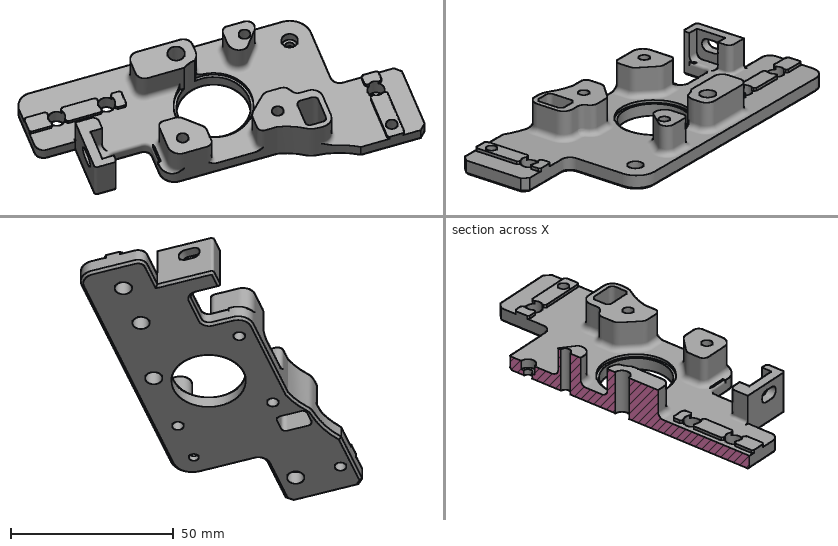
import cadquery as cq
import math

PLATE_WIDTH = 53.0
PLATE_LENGTH = 116.0
TOTAL_HEIGHT = 15.0
PLATE_TOP = 5.0
BOTTOM_CHAMFER = 0.8
BODY_RIGHT = 44.14
FOOT_RIGHT = 22.1
SHOULDER_Y = 94.4
TAB_LEFT = 28.01
TAB_CHAMFER = 2.0
INNER_CORNER_RADIUS = 3.0
FOOT_LEFT_RADIUS = 5.0
SHOULDER_RADIUS = 7.0
LOWER_RIGHT_RADIUS = 5.0
WAIST_START_Y = 70.5
WAIST_MIDDLE = (45.5, 74.6)
WAIST_END = (47.7, 78.6)
NOSE_RIGHT = 48.6
NOSE_END_Y = 81.3
TAB_SIDE_Y = 94.5

NOTCH_LEFT = 29.8
NOTCH_BOTTOM = 19.4
NOTCH_TOP = 33.6
NOTCH_RADIUS = 2.5
SMALL_FILLET = 1.0
CLAMP_RIGHT = 40.4
CLAMP_BOTTOM = 12.3
CLAMP_EDGE_RADIUS = 0.9
CLAMP_LEFT_RADIUS = 2.0
CLAMP_OVERLAP = 5.8
RECESS_LEFT = 26.9
RECESS_RIGHT = 37.8
RECESS_FRONT = 15.5
RECESS_FLOOR_RADIUS = 2.0
CLAMP_SLOT_X = 32.5
CLAMP_SLOT_Z = 10.4
CLAMP_SLOT_LENGTH = 6.8
CLAMP_SLOT_HEIGHT = 4.2

MOTOR_X = 23.03
MOTOR_Y = 57.01
MOTOR_RADIUS = 11.43
RIM_RADIUS = 12.3
RIM_DEPTH = 0.9
SCREW_OFFSET = 15.49
SCREW_RADIUS = 1.8
LEFT_X = MOTOR_X - SCREW_OFFSET
RIGHT_X = MOTOR_X + SCREW_OFFSET
UPPER_Y = MOTOR_Y + SCREW_OFFSET
LOWER_Y = MOTOR_Y - SCREW_OFFSET

FOOT_FILLET = 2.0
BOSS_LEFT = 2.9
BOSS_RADIUS = 3.0
TIGHT_RADIUS = 2.0
PAD_RIGHT = 13.5
PAD_BOTTOM = 36.0
PAD_TOP = 56.1
PAD_NOSE_RADIUS = 5.0
PAD_HOLE_Y = 50.2
TRIANGLE_RIGHT = 12.9
TRIANGLE_BOTTOM = 66.41
TRIANGLE_RIGHT_TOP = 71.3
TRIANGLE_TOP = 79.2
TRIANGLE_BOTTOM_RADIUS = 3.7
TRIANGLE_TOP_RADIUS = 2.5
RIGHT_BOSS_LEFT = 30.5
RIGHT_BOSS_REACH = 7.4
RIGHT_BOSS_BEVEL = 6.44
LOWER_BOSS_BOTTOM = 36.1
LOWER_BOSS_TOP = MOTOR_Y - RIGHT_BOSS_REACH
LOWER_BOSS_RADIUS = 4.0
UPPER_BOSS_BOTTOM = MOTOR_Y + RIGHT_BOSS_REACH
UPPER_BOSS_TOP = 87.5
UPPER_BOSS_RIGHT = 48.7
UPPER_BOSS_STEP_X = 34.2
UPPER_BOSS_STEP_TOP = 79.9
UPPER_BOSS_STEP_BOTTOM = 77.7
UPPER_BOSS_STEP_RADIUS = 2.4
UPPER_BOSS_TOP_RADIUS = 3.5
POCKET_LEFT = 37.06
POCKET_RIGHT = 46.92
POCKET_BOTTOM = 79.0
POCKET_TOP = 85.7
POCKET_RADIUS = 1.5

LARGE_HOLE_RADIUS = 2.7
CORNER_HOLE_Y = 87.2
CORNER_HOLE_RADIUS = 1.5
CORNER_BORE_RADIUS = 2.5
CORNER_BORE_DEPTH = 3.0

RAIL_TOP = 6.0
RAIL_WIDTH = 5.6
RAIL_CORNER = 0.6
RAIL_GAP = 4.4
FOOT_RAIL_X = 12.0
FOOT_RAIL_END = 31.7
FOOT_HOLES_Y = (9.7, 26.0)
TAB_RAIL_Y = 106.08
TAB_LARGE_HOLE_X = 34.1
TAB_SMALL_HOLE_X = 48.7

MARGIN = 23.2
NEAR = 0.1


def prism(corners, bottom, top):
    """Extrude a polygon given as (x, y, corner radius)."""
    count = len(corners)
    path = None
    for i, (x, y, radius) in enumerate(corners):
        corner_point = cq.Vector(x, y, 0)
        before = (cq.Vector(*corners[i - 1][:2], 0) - corner_point).normalized()
        after = (cq.Vector(*corners[(i + 1) % count][:2], 0) - corner_point).normalized()
        half_angle = before.getAngle(after) / 2
        setback = radius / math.tan(half_angle)
        start = corner_point + before * setback
        end = corner_point + after * setback
        inward = (before + after).normalized()
        middle = corner_point + inward * (radius / math.sin(half_angle) - radius)
        if path is None:
            path = cq.Workplane("XY", origin=(0, 0, bottom)).moveTo(start.x, start.y)
        else:
            path = path.lineTo(start.x, start.y)
        if radius > 0:
            path = path.threePointArc((middle.x, middle.y), (end.x, end.y))
    return path.close().extrude(top - bottom)


def box(x0, x1, y0, y1, z0, z1):
    return cq.Workplane("XY").box(x1 - x0, y1 - y0, z1 - z0, centered=False).translate((x0, y0, z0))


def cylinder(x, y, radius, bottom=0, top=TOTAL_HEIGHT):
    return cq.Workplane("XY", origin=(x, y, bottom)).circle(radius).extrude(top - bottom)


def between(x0, x1, y0, y1, z0, z1):
    """Selector for edges whose middle lies in the given box."""
    return cq.selectors.BoxSelector((x0, y0, z0), (x1, y1, z1))


def corner(x, y):
    """Selector for the upright edge at (x, y)."""
    return between(x - NEAR, x + NEAR, y - NEAR, y + NEAR, 0, TOTAL_HEIGHT)


def outline_block():
    """The plate outline at full height, chamfered along its bottom edge."""
    block = (
        cq.Workplane("XY")
        .moveTo(0, 0)
        .lineTo(FOOT_RIGHT, 0)
        .lineTo(FOOT_RIGHT, CLAMP_BOTTOM)
        .lineTo(CLAMP_RIGHT, CLAMP_BOTTOM)
        .lineTo(CLAMP_RIGHT, NOTCH_BOTTOM)
        .lineTo(NOTCH_LEFT, NOTCH_BOTTOM)
        .lineTo(NOTCH_LEFT, NOTCH_TOP)
        .lineTo(BODY_RIGHT, NOTCH_TOP)
        .lineTo(BODY_RIGHT, WAIST_START_Y)
        .threePointArc(WAIST_MIDDLE, WAIST_END)
        .tangentArcPoint((NOSE_RIGHT, NOSE_END_Y), relative=False)
        .tangentArcPoint((PLATE_WIDTH, TAB_SIDE_Y), relative=False)
        .lineTo(PLATE_WIDTH, PLATE_LENGTH)
        .lineTo(TAB_LEFT, PLATE_LENGTH)
        .lineTo(TAB_LEFT, SHOULDER_Y)
        .lineTo(0, SHOULDER_Y)
        .close()
        .extrude(TOTAL_HEIGHT)
    )
    for x, y, radius in (
        (0, 0, FOOT_LEFT_RADIUS),
        (FOOT_RIGHT, 0, INNER_CORNER_RADIUS),
        (0, SHOULDER_Y, SHOULDER_RADIUS),
        (TAB_LEFT, SHOULDER_Y, INNER_CORNER_RADIUS),
        (NOTCH_LEFT, NOTCH_BOTTOM, NOTCH_RADIUS),
        (NOTCH_LEFT, NOTCH_TOP, NOTCH_RADIUS),
        (BODY_RIGHT, NOTCH_TOP, LOWER_RIGHT_RADIUS),
        (CLAMP_RIGHT, CLAMP_BOTTOM, CLAMP_EDGE_RADIUS),
        (CLAMP_RIGHT, NOTCH_BOTTOM, CLAMP_EDGE_RADIUS),
    ):
        block = block.edges("|Z").edges(corner(x, y)).fillet(radius)
    for x in (TAB_LEFT, PLATE_WIDTH):
        block = block.edges("|Z").edges(corner(x, PLATE_LENGTH)).chamfer(TAB_CHAMFER)
    return block.faces("<Z").chamfer(BOTTOM_CHAMFER)


def lower_layer(top):
    """Large block from the ground up to the given height."""
    return box(-MARGIN, PLATE_WIDTH + MARGIN, -MARGIN, PLATE_LENGTH + MARGIN, 0, top)


def notch_rounding():
    """Cutter that rounds the upper edge of the notch, up to the end of the clamp recess."""
    far_right = BODY_RIGHT + MARGIN
    corners = [
        (NOTCH_LEFT, NOTCH_BOTTOM, NOTCH_RADIUS),
        (far_right, NOTCH_BOTTOM, 0),
        (far_right, NOTCH_TOP, 0),
        (NOTCH_LEFT, NOTCH_TOP, NOTCH_RADIUS),
    ]
    lid = box(0, far_right + MARGIN, 0, PLATE_LENGTH, PLATE_TOP, PLATE_TOP + 1.2)
    rim = between(1.2, far_right + 1.2, 1.2, PLATE_LENGTH - 1.2, PLATE_TOP - NEAR, PLATE_TOP + NEAR)
    cutter = prism(corners, 0, PLATE_TOP).union(lid).edges(rim).fillet(SMALL_FILLET)
    return cutter.intersect(box(0, RECESS_RIGHT, 0, PLATE_LENGTH, 0, PLATE_TOP))


def with_foot(corners, radius):
    """Raised shape above the plate with a concave foot fillet, clear of the motor opening."""
    slab = lower_layer(PLATE_TOP)
    shape = slab.union(prism(corners, PLATE_TOP, TOTAL_HEIGHT))
    foot = between(
        1.2 - MARGIN, PLATE_WIDTH + MARGIN - 1.2,
        1.2 - MARGIN, PLATE_LENGTH + MARGIN - 1.2,
        PLATE_TOP - NEAR, PLATE_TOP + NEAR,
    )
    return shape.edges(foot).fillet(radius).cut(slab).intersect(LAND)


def boss(corners):
    """Raised shape trimmed to the plate outline, with its foot fillet."""
    body = prism(corners, BOTTOM_CHAMFER, TOTAL_HEIGHT).intersect(OUTLINE)
    return body.union(with_foot(corners, FOOT_FILLET))


def clamp():
    """Upright wall with a recess in its back and a slot through it."""
    corners = [
        (FOOT_RIGHT, CLAMP_BOTTOM - CLAMP_OVERLAP, 0),
        (CLAMP_RIGHT, CLAMP_BOTTOM - CLAMP_OVERLAP, 0),
        (CLAMP_RIGHT, NOTCH_BOTTOM, CLAMP_EDGE_RADIUS),
        (FOOT_RIGHT, NOTCH_BOTTOM, CLAMP_LEFT_RADIUS),
    ]
    wall = with_foot(corners, SMALL_FILLET)
    front_trim = box(-1.2, PLATE_WIDTH, -1.2, CLAMP_BOTTOM, 0, TOTAL_HEIGHT + 1.2)
    recess = box(RECESS_LEFT, RECESS_RIGHT, RECESS_FRONT, NOTCH_TOP, PLATE_TOP, TOTAL_HEIGHT + 1.2)
    recess = recess.edges("|Y and <Z").fillet(RECESS_FLOOR_RADIUS)
    slot = (
        cq.Workplane("XZ", origin=(CLAMP_SLOT_X, 0, CLAMP_SLOT_Z))
        .slot2D(CLAMP_SLOT_LENGTH, CLAMP_SLOT_HEIGHT)
        .extrude(-NOTCH_BOTTOM)
    )
    return wall.cut(front_trim).cut(recess).cut(slot)


def rail(x0, x1, y0, y1):
    return box(x0, x1, y0, y1, PLATE_TOP, RAIL_TOP).edges("|Z").chamfer(RAIL_CORNER)


def rail_spans(start, end, holes):
    """Start and end of each stretch left between the gaps around the holes."""
    starts = [start] + [hole + RAIL_GAP / 2 for hole in holes]
    ends = [hole - RAIL_GAP / 2 for hole in holes] + [end]
    return zip(starts, ends)


def pocket():
    shape = box(POCKET_LEFT, POCKET_RIGHT, POCKET_BOTTOM, POCKET_TOP, 0, TOTAL_HEIGHT)
    return shape.edges("|Z").fillet(POCKET_RADIUS)


OUTLINE = outline_block()
LAND = OUTLINE.cut(lower_layer(PLATE_TOP)).cut(cylinder(MOTOR_X, MOTOR_Y, RIM_RADIUS))

left_pad = [
    (BOSS_LEFT, PAD_BOTTOM, BOSS_RADIUS),
    (PAD_RIGHT, PAD_BOTTOM, BOSS_RADIUS),
    (PAD_RIGHT, PAD_TOP, PAD_NOSE_RADIUS),
    (BOSS_LEFT, PAD_TOP, BOSS_RADIUS),
]
left_triangle = [
    (BOSS_LEFT, TRIANGLE_BOTTOM, TIGHT_RADIUS),
    (TRIANGLE_RIGHT, TRIANGLE_BOTTOM, TRIANGLE_BOTTOM_RADIUS),
    (TRIANGLE_RIGHT, TRIANGLE_RIGHT_TOP, TIGHT_RADIUS),
    (BOSS_LEFT, TRIANGLE_TOP, TRIANGLE_TOP_RADIUS),
]
lower_right_boss = [
    (RIGHT_BOSS_LEFT, LOWER_BOSS_BOTTOM, TIGHT_RADIUS),
    (BODY_RIGHT, LOWER_BOSS_BOTTOM, LOWER_BOSS_RADIUS),
    (BODY_RIGHT, LOWER_BOSS_TOP, TIGHT_RADIUS),
    (RIGHT_BOSS_LEFT + RIGHT_BOSS_BEVEL, LOWER_BOSS_TOP, BOSS_RADIUS),
    (RIGHT_BOSS_LEFT, LOWER_BOSS_TOP - RIGHT_BOSS_BEVEL, BOSS_RADIUS),
]
upper_right_boss = [
    (RIGHT_BOSS_LEFT + RIGHT_BOSS_BEVEL, UPPER_BOSS_BOTTOM, BOSS_RADIUS),
    (BODY_RIGHT, UPPER_BOSS_BOTTOM, TIGHT_RADIUS),
    (BODY_RIGHT, WAIST_START_Y, 0),
    (UPPER_BOSS_RIGHT, UPPER_BOSS_STEP_BOTTOM, 0),
    (UPPER_BOSS_RIGHT, UPPER_BOSS_TOP, UPPER_BOSS_TOP_RADIUS),
    (UPPER_BOSS_STEP_X, UPPER_BOSS_TOP, UPPER_BOSS_TOP_RADIUS),
    (UPPER_BOSS_STEP_X, UPPER_BOSS_STEP_TOP, UPPER_BOSS_STEP_RADIUS),
    (RIGHT_BOSS_LEFT, UPPER_BOSS_STEP_BOTTOM, UPPER_BOSS_STEP_RADIUS),
    (RIGHT_BOSS_LEFT, UPPER_BOSS_BOTTOM + RIGHT_BOSS_BEVEL, BOSS_RADIUS),
]

result = OUTLINE.intersect(lower_layer(PLATE_TOP))
result = result.cut(cylinder(MOTOR_X, MOTOR_Y, RIM_RADIUS, PLATE_TOP - RIM_DEPTH))
result = result.cut(notch_rounding())

for boss_corners in (left_pad, left_triangle, lower_right_boss, upper_right_boss):
    result = result.union(boss(boss_corners))
result = result.union(clamp())

half_rail = RAIL_WIDTH / 2
for start, end in rail_spans(0, FOOT_RAIL_END, FOOT_HOLES_Y):
    result = result.union(rail(FOOT_RAIL_X - half_rail, FOOT_RAIL_X + half_rail, start, end))
for start, end in rail_spans(TAB_LEFT, PLATE_WIDTH, [TAB_LARGE_HOLE_X]):
    result = result.union(rail(start, end, TAB_RAIL_Y - half_rail, TAB_RAIL_Y + half_rail))

result = result.cut(pocket())
through_holes = [
    (MOTOR_X, MOTOR_Y, MOTOR_RADIUS),
    (LEFT_X, UPPER_Y, SCREW_RADIUS),
    (RIGHT_X, UPPER_Y, SCREW_RADIUS),
    (RIGHT_X, LOWER_Y, SCREW_RADIUS),
    (LEFT_X, PAD_HOLE_Y, LARGE_HOLE_RADIUS),
    (LEFT_X, CORNER_HOLE_Y, CORNER_HOLE_RADIUS),
    (TAB_LARGE_HOLE_X, TAB_RAIL_Y, LARGE_HOLE_RADIUS),
    (TAB_SMALL_HOLE_X, TAB_RAIL_Y, SCREW_RADIUS),
]
through_holes += [(FOOT_RAIL_X, y, LARGE_HOLE_RADIUS) for y in FOOT_HOLES_Y]
for x, y, radius in through_holes:
    result = result.cut(cylinder(x, y, radius))
result = result.cut(cylinder(LEFT_X, CORNER_HOLE_Y, CORNER_BORE_RADIUS, PLATE_TOP - CORNER_BORE_DEPTH))